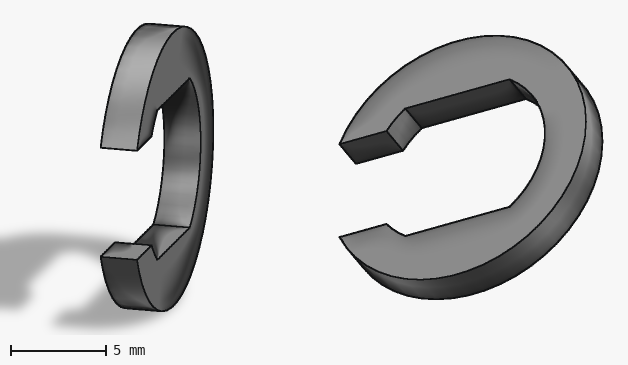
import cadquery as cq

outer_diameter = 14.99
thickness = 2.0
bore_diameter = 10.2
flat_spacing = 8.18
mouth_width = 5.97


def ring_blank():
    """Solid disc with its axis along X, centred on the origin."""
    return cq.Workplane("YZ").circle(outer_diameter / 2).extrude(thickness / 2, both=True)


def flatted_bore():
    """Round bore cut short by a flat at the top and at the bottom."""
    bore = cq.Workplane("YZ").circle(bore_diameter / 2).extrude(thickness / 2, both=True)
    between_flats = cq.Workplane("XY").box(thickness, bore_diameter, flat_spacing)
    return bore.intersect(between_flats)


def mouth():
    """Parallel-sided opening from the ring axis out through the -Y side."""
    return cq.Workplane("XY").box(
        thickness, outer_diameter / 2, mouth_width
    ).translate((0, -outer_diameter / 4, 0))


result = ring_blank().cut(flatted_bore()).cut(mouth())